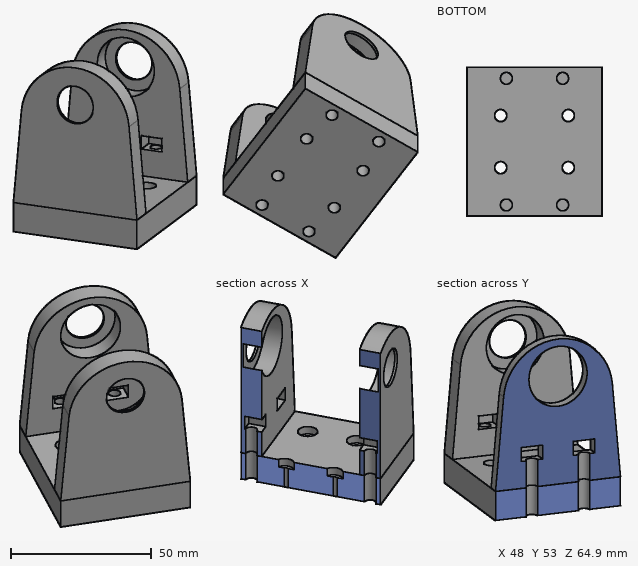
import cadquery as cq
import math

width = 48.0
length = 53.0
base_height = 11.0
mount_hole_diameter = 4.2
mount_counterbore_diameter = 7.0
mount_counterbore_depth = 3.0
mount_pitch_x = 24.0
mount_pitch_y = 18.5

total_height = 64.9
cheek_thickness = 8.0
crown_radius = 21.0
crown_center_z = total_height - crown_radius

bore_center_z = 50.95
bore_diameter = 14.0
bearing_diameter = 22.1
bearing_depth = 7.0

nut_pitch = 20.0
nut_pocket_width = 8.0
nut_pocket_height = 5.0
nut_pocket_depth = 6.5
nut_floor_z = 21.0
screw_diameter = 4.2

inner_face_y = length / 2 - cheek_thickness
screw_y = length / 2 - cheek_thickness / 2
screw_xs = (-nut_pitch / 2, nut_pitch / 2)


def cut_screw_holes(body, y):
    """Cut the vertical screw holes from the underside of the base up to the nut pocket floors."""
    for x in screw_xs:
        body = body.cut(cq.Workplane("XY").center(x, y).circle(screw_diameter / 2).extrude(nut_floor_z))
    return body


def make_base():
    """Rectangular plate with four counterbored mounting holes and the cheek screw holes."""
    base = cq.Workplane("XY").box(width, length, base_height, centered=(True, True, False))
    base = (
        base.faces(">Z")
        .workplane()
        .rect(mount_pitch_x, mount_pitch_y, forConstruction=True)
        .vertices()
        .cboreHole(mount_hole_diameter, mount_counterbore_diameter, mount_counterbore_depth)
    )
    for y in (-screw_y, screw_y):
        base = cut_screw_holes(base, y)
    return base


def cheek_outline(plane):
    """Tapered sides running tangentially into the round crown."""
    drop = crown_center_z - base_height
    corner_distance = math.hypot(width / 2, drop)
    tangent_angle = math.acos(crown_radius / corner_distance) - math.atan2(drop, width / 2)
    tangent_x = crown_radius * math.cos(tangent_angle)
    tangent_z = crown_center_z + crown_radius * math.sin(tangent_angle)
    return (
        plane.moveTo(-width / 2, base_height)
        .lineTo(width / 2, base_height)
        .lineTo(tangent_x, tangent_z)
        .threePointArc((0, total_height), (-tangent_x, tangent_z))
        .close()
    )


def make_cheek():
    """Cheek on the +Y side of the base, its bearing seat and nut pockets facing inward."""
    inner_plane = cq.Workplane("XZ", origin=(0, inner_face_y, 0))
    cheek = cheek_outline(inner_plane).extrude(-cheek_thickness)
    bore_plane = inner_plane.center(0, bore_center_z)
    cheek = cheek.cut(bore_plane.circle(bore_diameter / 2).extrude(-cheek_thickness))
    cheek = cheek.cut(bore_plane.circle(bearing_diameter / 2).extrude(-bearing_depth))
    for x in screw_xs:
        pocket = cq.Workplane("XY", origin=(x, inner_face_y, nut_floor_z)).box(
            nut_pocket_width, nut_pocket_depth, nut_pocket_height, centered=(True, False, False)
        )
        cheek = cheek.cut(pocket)
    return cut_screw_holes(cheek, screw_y)


base = make_base()
cheeks = []
for turn in (0, 180):
    cheeks.append(make_cheek().rotate((0, 0, 0), (0, 0, 1), turn).val())

result = cq.Compound.makeCompound([base.val(), *cheeks])